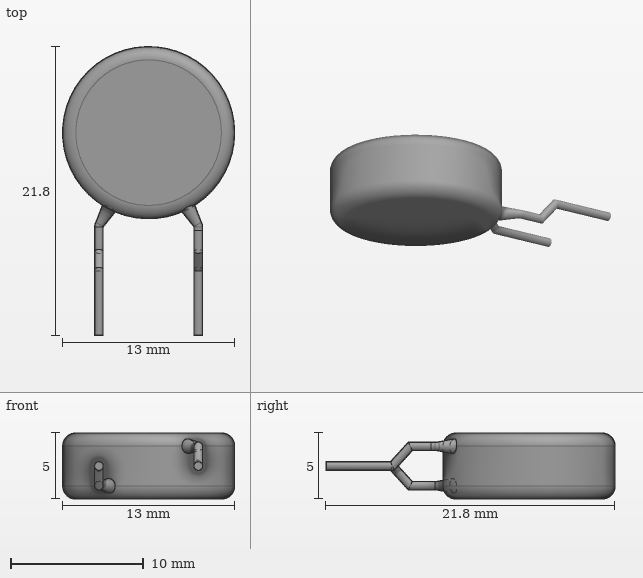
import cadquery as cq
import math

disc_diameter = 13.0
disc_height = 5.0
disc_edge_radius = 1.0

total_length = 21.8
lead_diameter = 0.65
lead_offset_x = 3.75
lead_offset_z = 1.48
kink_start_y = -8.95
kink_end_y = -10.31
lead_end_y = disc_diameter / 2 - total_length

elbow_end_y = -7.1
elbow_angle = 30.0
elbow_bend_radius = 0.35
cone_half_angle = 9.0
cone_length = 3.05
upper_collar_length = 0.28
lower_collar_length = 0.0

lead_radius = lead_diameter / 2


def make_disc():
    disc = cq.Workplane("XY").cylinder(disc_height, disc_diameter / 2)
    return disc.edges("%CIRCLE").fillet(disc_edge_radius)


def make_sleeve(disc, collar_length):
    """Sleeve on the +X, +Z side, trimmed where it meets the disc."""
    pivot_x = lead_offset_x - elbow_bend_radius
    turn = math.radians(elbow_angle)
    elbow = (
        cq.Workplane("XZ", origin=(lead_offset_x, elbow_end_y, lead_offset_z))
        .circle(lead_radius)
        .revolve(elbow_angle, (-elbow_bend_radius, 0), (-elbow_bend_radius, 1))
    )
    cone_base = cq.Vector(
        pivot_x + elbow_bend_radius * math.cos(turn),
        elbow_end_y + elbow_bend_radius * math.sin(turn),
        lead_offset_z,
    )
    cone_axis = cq.Vector(-math.sin(turn), math.cos(turn), 0)
    root_radius = lead_radius + cone_length * math.tan(math.radians(cone_half_angle))
    cone = cq.Solid.makeCone(lead_radius, root_radius, cone_length, cone_base, cone_axis)

    sleeve = elbow.union(cq.Workplane(cone)).cut(disc)
    if collar_length > 0:
        collar = (
            cq.Workplane("XZ", origin=(lead_offset_x, elbow_end_y, lead_offset_z))
            .circle(lead_radius)
            .extrude(collar_length)
        )
        sleeve = sleeve.union(collar)
    return sleeve


def make_lead(collar_length):
    """Kinked wire on the +X, +Z side, starting at the end of its sleeve."""
    start_y = elbow_end_y - collar_length
    path = cq.Workplane("YZ", origin=(lead_offset_x, 0, 0)).polyline([
        (start_y, lead_offset_z),
        (kink_start_y, lead_offset_z),
        (kink_end_y, 0),
        (lead_end_y, 0),
    ])
    return (
        cq.Workplane("XZ", origin=(lead_offset_x, start_y, lead_offset_z))
        .circle(lead_radius)
        .sweep(path, transition="right")
    )


disc = make_disc()
bodies = disc.solids().vals()
for collar_length, turn_angle in ((upper_collar_length, 0), (lower_collar_length, 180)):
    for body in (make_sleeve(disc, collar_length), make_lead(collar_length)):
        bodies += body.rotate((0, 0, 0), (0, 1, 0), turn_angle).solids().vals()

result = cq.Compound.makeCompound(bodies)